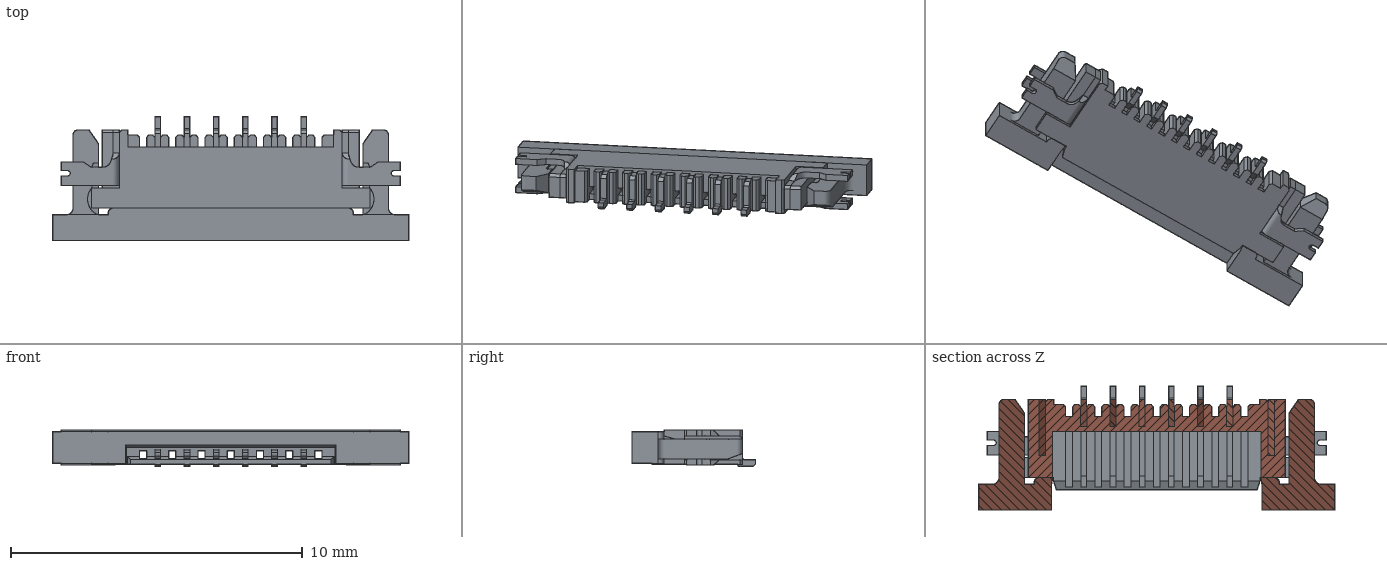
import cadquery as cq
import math

length = 12.2
top_z = 1.25
pitch = 1.0
contact_count = 6
gap_positions = [(i - contact_count / 2) * pitch for i in range(contact_count + 1)]
contact_positions = [(i - (contact_count - 1) / 2) * pitch for i in range(contact_count)]

slider_bottom_z = 0.1
slider_top_z = 1.18
bar_depth = 0.89
notch_half_width = 3.6
notch_top_z = 0.73
notch_draft = 0.04
arm_outer_x = 5.4
arm_inner_x = 4.53
arm_bottom_z = 0.26
arm_top_z = 0.93
arm_tip_round = 0.18
arm_root_round = 0.22
arm_inner_taper = (0.33, 0.48)
arm_under_taper = (0.49, 0.18)
arm_recess_depth = 0.06
arm_recess_outer_x = 4.75
arm_recess_end_y = 2.66
arm_recess_corner = 0.1
latch_center = (-4.33, 1.42)
latch_radius = 0.57
shoulder_half_width = 4.2
shoulder_round = 0.16
tongue_half_width = 3.48
tongue_bottom_z = 0.63
tongue_end_y = 2.44

housing_bottom_z = 0.06
housing_front_y = 1.11
housing_back_y = 3.21
ear_back_y = 3.8
ear_inner_x = 3.53
plate_half_width = 3.82
ear_corner = 0.09
lug_outer_x = 4.77
lug_back_y = 1.8
lug_ramp_length = 0.39
lug_ramp_rise = 0.11
shelf_outer_x = 4.4
shelf_end_chamfer = 0.1
shelf_bottom_z = 0.22
shelf_top_z = 1.04
lip_front_y = 0.7
lip_half_width = 3.54
lip_top_z = 0.23
lip_corner = (0.1, 0.3)
ramp_length = 0.29
floor_z = 0.34
cavity_half_width = 3.56
cavity_back_y = 2.68
tooth_back_y = 3.62
tooth_top_z = 1.16
tooth_corner = 0.09
gap_width = 0.23
window_bottom_z = 0.27
window_top_z = 0.52
contact_slot_top_z = 0.56
contact_slot_back_y = 2.87

tab_bottom_z = 0.04
tab_thickness = 0.21
tab_outer_x = 5.81
tab_front_y = 1.88
tab_back_y = 2.7
neck_back_y = 2.51
neck_outer_x = 4.78
neck_start_x = 5.05
neck_end_x = 4.39
web_back_y = 3.0
web_bevel_y = 2.79
web_edge_direction = (-0.3, -1)
web_round = 0.22
tab_slot_width = 0.18
tab_slot_depth = 0.3
tab_slot_y = 2.3

contact_width = 0.2
contact_front_y = 1.16
contact_beam_bottom_z = 0.32
contact_beam_top_z = 0.48
contact_nose_round = 0.1
contact_back_top_z = 1.1
contact_back_y = 3.8
contact_back_chamfer = 0.12
heel_y = 3.66
foot_start_y = 3.84
foot_end_y = 4.25
foot_top_z = 0.23
foot_corner = 0.09


def box(x0, x1, y0, y1, z0, z1):
    """Axis-aligned block between two opposite corners."""
    return cq.Workplane("XY").box(x1 - x0, y1 - y0, z1 - z0, centered=False).translate((x0, y0, z0))


def across(points, x0, x1):
    """Y-Z outline extruded along X from x0 to x1."""
    return cq.Workplane("YZ").polyline(points).close().extrude(x1 - x0).translate((x0, 0, 0))


def both_sides(body):
    """A left-hand feature together with its right-hand mirror image."""
    return body.union(body.mirror("YZ"))


def slider_arm():
    """Left arm with its rounded root, bevelled tip and recess under the housing lug."""
    taper_x, taper_y = arm_inner_taper
    diagonal = math.sqrt(0.5)
    root_mid = arm_root_round * (1 - diagonal)
    tip_mid = arm_tip_round * (1 - diagonal)
    arm = (
        cq.Workplane("XY", origin=(0, 0, arm_bottom_z))
        .moveTo(-arm_inner_x, bar_depth)
        .lineTo(-arm_inner_x, ear_back_y - taper_y)
        .lineTo(-arm_inner_x - taper_x, ear_back_y)
        .lineTo(-arm_outer_x + arm_tip_round, ear_back_y)
        .threePointArc((-arm_outer_x + tip_mid, ear_back_y - tip_mid),
                       (-arm_outer_x, ear_back_y - arm_tip_round))
        .lineTo(-arm_outer_x, bar_depth + arm_root_round)
        .threePointArc((-arm_outer_x - root_mid, bar_depth + root_mid),
                       (-arm_outer_x - arm_root_round, bar_depth))
        .close()
        .extrude(arm_top_z - arm_bottom_z)
    )
    under_y, under_z = arm_under_taper
    bevel = across(
        [(ear_back_y - under_y, arm_bottom_z), (ear_back_y, arm_bottom_z),
         (ear_back_y, arm_bottom_z + under_z)], -arm_outer_x, -arm_inner_x)
    recess = (
        cq.Workplane("XY", origin=(0, 0, arm_top_z - arm_recess_depth))
        .moveTo(-arm_inner_x, bar_depth)
        .lineTo(-arm_inner_x, arm_recess_end_y)
        .lineTo(-arm_recess_outer_x + arm_recess_corner / 2, arm_recess_end_y)
        .lineTo(-arm_recess_outer_x, arm_recess_end_y - arm_recess_corner)
        .lineTo(-arm_recess_outer_x, latch_center[1])
        .lineTo(-arm_inner_x, latch_center[1])
        .close()
        .extrude(arm_recess_depth)
    )
    latch = (
        cq.Workplane("XY", origin=(*latch_center, arm_top_z - arm_recess_depth))
        .circle(latch_radius)
        .extrude(arm_recess_depth)
    )
    return arm.cut(bevel).cut(recess).cut(latch)


def make_slider():
    """Notched bar with an arm at each end and a tongue that enters the housing."""
    bar = box(-length / 2, length / 2, 0, bar_depth, slider_bottom_z, slider_top_z)
    shoulder = (
        box(-shoulder_half_width, shoulder_half_width, 0, housing_front_y, slider_bottom_z, slider_top_z)
        .edges("|Z and >Y").fillet(shoulder_round)
    )
    notch = box(-notch_half_width, notch_half_width, 0, bar_depth, 0, notch_top_z)
    notch_throat = (
        cq.Workplane("XZ", origin=(0, bar_depth, 0)).rect(2 * notch_half_width, 2 * notch_top_z)
        .workplane(offset=bar_depth - housing_front_y)
        .rect(2 * (notch_half_width - notch_draft), 2 * tongue_bottom_z)
        .loft()
    )
    tongue = box(-tongue_half_width, tongue_half_width, housing_front_y, tongue_end_y,
                 tongue_bottom_z, arm_top_z)
    return bar.union(shoulder).cut(notch).cut(notch_throat).union(tongue).union(both_sides(slider_arm()))


def make_left_tab():
    """C-shaped tab: two flat plates joined by a web that stands in the housing."""
    lower_top_z = tab_bottom_z + tab_thickness
    upper_bottom_z = top_z - tab_thickness
    web_x = plate_half_width + tab_thickness
    channel = box(-tab_outer_x, -plate_half_width, tab_front_y, web_back_y, tab_bottom_z, top_z)
    channel = channel.edges("|Y and >X").fillet(web_round)
    channel = channel.cut(box(-tab_outer_x, -web_x, tab_front_y, web_back_y, lower_top_z, upper_bottom_z))
    outline = (
        cq.Workplane("XY")
        .moveTo(-tab_outer_x, tab_front_y)
        .lineTo(-plate_half_width, tab_front_y)
        .lineTo(-plate_half_width, web_back_y)
        .lineTo(-web_x, web_back_y)
        .spline([(-neck_end_x, neck_back_y)], tangents=[web_edge_direction, (-1, 0)], includeCurrent=True)
        .lineTo(-neck_outer_x, neck_back_y)
        .lineTo(-neck_start_x, tab_back_y)
        .lineTo(-tab_outer_x, tab_back_y)
        .close()
        .extrude(top_z)
    )
    slot_round_x = -tab_outer_x + tab_slot_depth - tab_slot_width / 2
    slot = box(-tab_outer_x, slot_round_x, tab_slot_y - tab_slot_width / 2, tab_slot_y + tab_slot_width / 2,
               0, top_z)
    slot = slot.union(cq.Workplane("XY", origin=(slot_round_x, tab_slot_y, 0))
                      .circle(tab_slot_width / 2).extrude(top_z))
    top_bevel = across([(web_bevel_y, top_z), (web_back_y, top_z), (web_back_y, shelf_top_z)],
                       -neck_end_x, -plate_half_width)
    bottom_bevel = across([(web_bevel_y, tab_bottom_z), (web_back_y, tab_bottom_z),
                           (web_back_y, shelf_bottom_z)], -neck_end_x, -plate_half_width)
    blade = box(-web_x, -plate_half_width, tab_front_y, ear_back_y, shelf_bottom_z, shelf_top_z)
    blade = blade.edges(">Z and >Y").chamfer(shelf_end_chamfer)
    return channel.intersect(outline).cut(slot).cut(top_bevel).cut(bottom_bevel).union(blade)


def make_contact(x):
    """Contact with a beam in the cavity, a post through the back wall and a soldering foot."""
    profile = [
        (contact_front_y, contact_beam_bottom_z),
        (contact_front_y, contact_beam_top_z),
        (contact_slot_back_y, contact_beam_top_z),
        (contact_slot_back_y, contact_back_top_z),
        (contact_back_y - contact_back_chamfer, contact_back_top_z),
        (contact_back_y, contact_back_top_z - contact_back_chamfer),
        (contact_back_y, foot_top_z + foot_start_y - contact_back_y),
        (foot_start_y, foot_top_z),
        (foot_end_y, foot_top_z),
        (foot_end_y, foot_corner),
        (foot_end_y - foot_corner, 0),
        (heel_y, 0),
        (heel_y - contact_beam_bottom_z, contact_beam_bottom_z),
    ]
    contact = across(profile, x - contact_width / 2, x + contact_width / 2)
    return contact.faces("<Y").edges("<Z").fillet(contact_nose_round)


def housing_side():
    """Left ear, lugs above and below the slider arm, and the shelf beside the arm."""
    ear = box(-plate_half_width, -ear_inner_x, housing_front_y, ear_back_y, housing_bottom_z, top_z)
    ear = ear.edges("|Z and >Y and <X").chamfer(ear_corner)
    shelf = box(-shelf_outer_x, -plate_half_width, housing_front_y, ear_back_y,
                shelf_bottom_z, shelf_top_z).edges(">Z and >Y").chamfer(shelf_end_chamfer)
    ramp_y = housing_front_y + lug_ramp_length
    upper_lug = across(
        [(housing_front_y, top_z), (lug_back_y, top_z), (lug_back_y, arm_top_z), (ramp_y, arm_top_z),
         (housing_front_y, arm_top_z + lug_ramp_rise)], -lug_outer_x, -plate_half_width)
    lower_lug = box(-lug_outer_x, -plate_half_width, housing_front_y, lug_back_y,
                    housing_bottom_z, arm_bottom_z)
    return ear.union(shelf).union(upper_lug).union(lower_lug)


def tooth(x0, x1, bevelled_sides):
    """One tooth of the back comb, with the given side edges bevelled at its tip."""
    block = box(x0, x1, housing_back_y, tooth_back_y, housing_bottom_z, tooth_top_z)
    for side in bevelled_sides:
        block = block.edges(f"|Z and >Y and {side}").chamfer(tooth_corner)
    return block


def tooth_comb():
    """A tooth on each side of every contact, and a wider one against each ear."""
    comb = both_sides(tooth(-ear_inner_x, gap_positions[0] - gap_width / 2, [">X"]))
    for x in contact_positions:
        tooth_outer = (pitch - gap_width) / 2
        comb = comb.union(tooth(x - tooth_outer, x - contact_width / 2, ["<X", ">X"]))
        comb = comb.union(tooth(x + contact_width / 2, x + tooth_outer, ["<X", ">X"]))
    return comb


def make_housing():
    """Block with a cable slot, a front lip, side shelves and a comb of teeth at the back."""
    block = box(-plate_half_width, plate_half_width, housing_front_y, housing_back_y,
                housing_bottom_z, top_z)
    ramp_y = lip_front_y + ramp_length
    lip = across(
        [(lip_front_y, housing_bottom_z), (lip_front_y, lip_top_z), (ramp_y, floor_z),
         (housing_front_y, floor_z), (housing_front_y, housing_bottom_z)], -lip_half_width, lip_half_width)
    corner_x, corner_y = lip_corner
    lip_cut = (
        cq.Workplane("XY")
        .polyline([(-lip_half_width, lip_front_y), (-lip_half_width + corner_x, lip_front_y),
                   (-lip_half_width, lip_front_y + corner_y)])
        .close().extrude(top_z)
    )
    housing = block.union(lip.cut(both_sides(lip_cut))).union(both_sides(housing_side()))
    housing = housing.union(tooth_comb())
    cavity = box(-cavity_half_width, cavity_half_width, housing_front_y, cavity_back_y,
                 floor_z, tongue_bottom_z)
    housing = housing.cut(cavity)
    for x in gap_positions:
        housing = housing.cut(box(x - gap_width / 2, x + gap_width / 2, lip_front_y, housing_back_y,
                                  window_bottom_z, window_top_z))
    for x in contact_positions:
        housing = housing.cut(box(x - contact_width / 2, x + contact_width / 2,
                                  lip_front_y, contact_slot_back_y, window_bottom_z, contact_slot_top_z))
    return housing


slider = make_slider()
left_tab = make_left_tab()
tabs = [left_tab, left_tab.mirror("YZ")]
contacts = [make_contact(x) for x in contact_positions]
housing = make_housing()
for insert in [slider, *tabs, *contacts]:
    housing = housing.cut(insert)

result = cq.Compound.makeCompound(
    [housing.val(), slider.val(), *[tab.val() for tab in tabs], *[contact.val() for contact in contacts]]
)